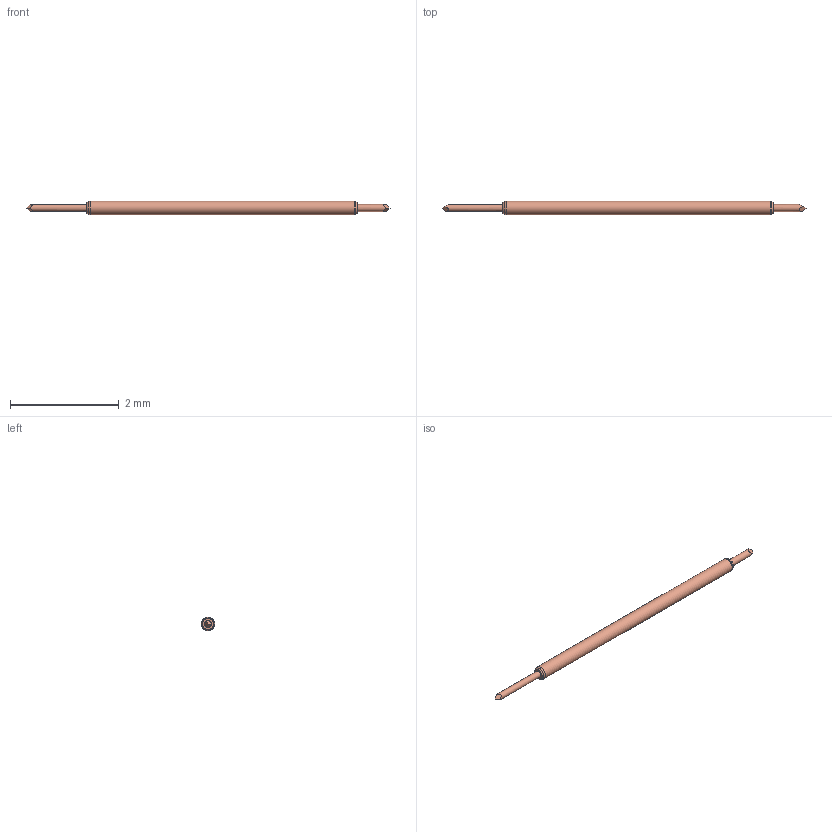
import cadquery as cq
import math

total_length = 6.7
body_length = 4.98
tail_length = 1.12

body_diameter = 0.25
tail_diameter = 0.12
head_diameter = 0.13

outer_bevel_length = 0.03
outer_bevel_depth = 0.01
inner_bevel_length = 0.03
inner_bevel_depth = 0.016
tip_face_angle = 27
tip_faces = 3

tail_end = -total_length / 2
head_end = total_length / 2
body_start = tail_end + tail_length
body_end = body_start + body_length


def rod(start, end, diameter):
    """Round bar along X between two stations."""
    return cq.Workplane("YZ", origin=(start, 0, 0)).circle(diameter / 2).extrude(end - start)


def make_body():
    """Barrel whose two rims each taper in a shallow bevel and then a steeper one."""
    radius = body_diameter / 2
    ridge_radius = radius - outer_bevel_depth
    end_radius = ridge_radius - inner_bevel_depth
    ridge_inset = inner_bevel_length
    shoulder_inset = ridge_inset + outer_bevel_length
    profile = (
        cq.Workplane("XY")
        .moveTo(body_start, 0)
        .lineTo(body_start, end_radius)
        .lineTo(body_start + ridge_inset, ridge_radius)
        .lineTo(body_start + shoulder_inset, radius)
        .lineTo(body_end - shoulder_inset, radius)
        .lineTo(body_end - ridge_inset, ridge_radius)
        .lineTo(body_end, end_radius)
        .lineTo(body_end, 0)
        .close()
    )
    return profile.revolve(360, (0, 0, 0), (1, 0, 0))


def make_pin(base, tip, diameter):
    """Round pin from base to tip, ground to a pyramid point with one face towards +Y."""
    inscribed_radius = abs(base - tip) * math.tan(math.radians(tip_face_angle))
    corner_radius = inscribed_radius / math.cos(math.pi / tip_faces)
    corner_angles = [math.pi + 2 * math.pi * i / tip_faces for i in range(tip_faces)]
    corners = [
        cq.Vector(base, corner_radius * math.cos(a), corner_radius * math.sin(a))
        for a in corner_angles
    ]
    apex = cq.Vector(tip, 0, 0)
    outlines = [corners]
    for i in range(tip_faces):
        outlines.append([corners[i - 1], corners[i], apex])
    faces = [cq.Face.makeFromWires(cq.Wire.makePolygon(points, close=True)) for points in outlines]
    pyramid = cq.Solid.makeSolid(cq.Shell.makeShell(faces))
    return rod(base, tip, diameter).intersect(cq.Workplane(pyramid))


tail = make_pin(body_start, tail_end, tail_diameter)
head = make_pin(body_end, head_end, head_diameter)

result = make_body().union(tail).union(head)